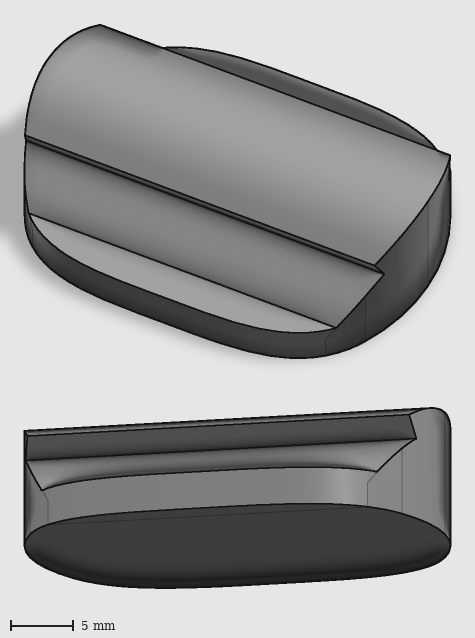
import cadquery as cq
import math

length = 34.0
width = 26.0
height = 10.0
plate_thickness = 3.0
trim_margin = 1.0

end_radius = length / 2
end_half_angle = 26.3

rail_radius = 14.0
core_radius = 12.0
axis_z = height - rail_radius
rail_half_angle = 28.5
core_half_angle = 60.0


def polar(radius, angle):
    """Point at an angle in degrees, measured from the first axis."""
    return (radius * math.cos(math.radians(angle)), radius * math.sin(math.radians(angle)))


def on_dome(radius, angle):
    """(Y, Z) point about the dome axis, angle in degrees from vertical toward +Y."""
    up, across = polar(radius, angle)
    return (across, axis_z + up)


def mirror(point, sign_x, sign_y):
    return (sign_x * point[0], sign_y * point[1])


def outline_prism(prism_height):
    """Rounded oval: an arc at each end, joined by a smooth curve along each long side."""
    tip = (end_radius, 0)
    arc_middle = polar(end_radius, end_half_angle / 2)
    arc_end = polar(end_radius, end_half_angle)

    side_points = [arc_end, (0, width / 2), mirror(arc_end, -1, 1)]

    leaving = polar(1, end_half_angle + 90)
    arriving = mirror(leaving, 1, -1)

    outline = cq.Workplane("XY").moveTo(*tip)
    for sign in (1, -1):
        outline = (
            outline.threePointArc(mirror(arc_middle, sign, sign), mirror(arc_end, sign, sign))
            .spline(
                [mirror(point, sign, sign) for point in side_points],
                tangents=[mirror(leaving, sign, sign), mirror(arriving, sign, sign)],
            )
            .threePointArc(mirror(arc_middle, -sign, sign), mirror(tip, -sign, sign))
        )
    return outline.close().extrude(prism_height)


def core_bar():
    """Bar along X with a domed top and vertical sides."""
    left = on_dome(core_radius, -core_half_angle)
    right = on_dome(core_radius, core_half_angle)
    return (
        cq.Workplane("YZ")
        .moveTo(left[0], 0)
        .lineTo(*left)
        .threePointArc(on_dome(core_radius, 0), right)
        .lineTo(right[0], 0)
        .close()
        .extrude(length / 2, both=True)
    )


def rail_bar():
    """Bar along X shaped as a ring sector, so its radial sides overhang the core."""
    return (
        cq.Workplane("YZ")
        .moveTo(*on_dome(core_radius, -rail_half_angle))
        .lineTo(*on_dome(rail_radius, -rail_half_angle))
        .threePointArc(on_dome(rail_radius, 0), on_dome(rail_radius, rail_half_angle))
        .lineTo(*on_dome(core_radius, rail_half_angle))
        .threePointArc(on_dome(core_radius, 0), on_dome(core_radius, -rail_half_angle))
        .close()
        .extrude(length / 2, both=True)
    )


plate = outline_prism(plate_thickness)
raised = core_bar().union(rail_bar()).intersect(outline_prism(height + trim_margin), clean=False)
flanges = plate.cut(raised)

result = raised.union(flanges, clean=False)